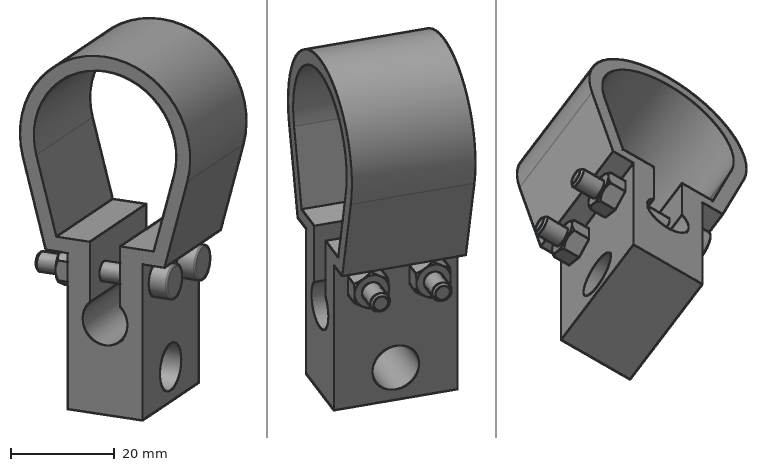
import cadquery as cq
import math

total_height = 72.95
depth = 25.4
band_width = 36.4
wall = 3.0
side_slope = math.radians(15)
shelf_bottom = 31.8
block_width = 16.0
slot_width = 6.5
hole_diameter = 9.55
slot_hole_z = 19.0
cross_hole_z = 7.1

band_radius = band_width / 2
band_z = total_height - band_radius
shelf_top = shelf_bottom + wall

bolt_z = 26.9
bolt_spacing = depth / 2
bolt_diameter = 4.0
bolt_tip_x = -17.15
tip_chamfer = 0.5
head_diameter = 7.0
head_height = 3.95
head_rim_radius = 0.4
nut_across_flats = 7.0
nut_height = 3.95
nut_chamfer = 0.5


def extrude_through_depth(profile):
    """Extrude an XZ profile symmetrically along Y."""
    return profile.extrude(depth / 2, both=True)


def teardrop(radius, bottom_z):
    """Solid bounded by an arc, two tangent sloping sides and a flat bottom."""
    tangent_x = radius * math.cos(side_slope)
    tangent_z = band_z - radius * math.sin(side_slope)
    bottom_x = tangent_x - (tangent_z - bottom_z) * math.tan(side_slope)
    profile = (
        cq.Workplane("XZ")
        .moveTo(-bottom_x, bottom_z)
        .lineTo(-tangent_x, tangent_z)
        .threePointArc((0, band_z + radius), (tangent_x, tangent_z))
        .lineTo(bottom_x, bottom_z)
        .close()
    )
    return extrude_through_depth(profile)


def clamp_body():
    block = cq.Workplane("XY").box(block_width, depth, shelf_top, centered=(True, True, False))
    slot_length = shelf_top - slot_hole_z
    slot = (
        cq.Workplane("XY", origin=(0, 0, slot_hole_z))
        .box(slot_width, depth, slot_length, centered=(True, True, False))
    )
    slot_hole = extrude_through_depth(
        cq.Workplane("XZ").center(0, slot_hole_z).circle(hole_diameter / 2)
    )
    cross_hole = (
        cq.Workplane("YZ")
        .center(0, cross_hole_z)
        .circle(hole_diameter / 2)
        .extrude(block_width / 2, both=True)
    )
    return (
        teardrop(band_radius, shelf_bottom)
        .union(block)
        .cut(teardrop(band_radius - wall, shelf_top))
        .cut(slot)
        .cut(slot_hole)
        .cut(cross_hole)
    )


def bolt_plane(x, y):
    """Sketch plane facing +X, centred on the bolt axis."""
    return cq.Workplane("YZ", origin=(x, y, bolt_z))


def bolt_with_nut(y):
    block_side = block_width / 2
    shank = (
        bolt_plane(bolt_tip_x, y)
        .circle(bolt_diameter / 2)
        .extrude(block_side - bolt_tip_x)
        .faces("<X")
        .chamfer(tip_chamfer)
    )
    head = (
        bolt_plane(block_side, y)
        .circle(head_diameter / 2)
        .extrude(head_height)
        .faces(">X")
        .edges()
        .fillet(head_rim_radius)
    )

    across_corners = nut_across_flats / math.cos(math.pi / 6)
    nut_plane = bolt_plane(-block_side - nut_height, y)
    corner_trim = (
        nut_plane.circle(across_corners / 2).extrude(nut_height).faces("<X").chamfer(nut_chamfer)
    )
    nut = (
        nut_plane.transformed(rotate=(0, 0, 90))
        .polygon(6, across_corners)
        .extrude(nut_height)
        .intersect(corner_trim)
    )
    return shank.union(head).union(nut)


result = clamp_body()
for bolt_y in (-bolt_spacing / 2, bolt_spacing / 2):
    result = result.union(bolt_with_nut(bolt_y))